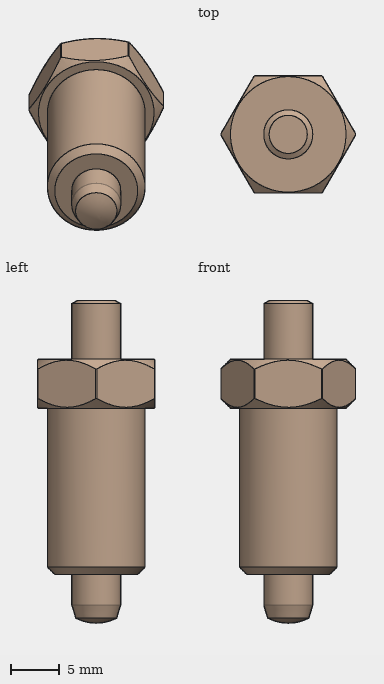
import cadquery as cq
import math

total_length = 33.0

hex_across_flats = 12.0
hex_height = 5.0
hex_face_diameter = 11.8
hex_across_corners = hex_across_flats / math.cos(math.radians(30))
hex_turned_diameter = 13.8
hex_corner_chamfer = (hex_turned_diameter - hex_face_diameter) / 2

sleeve_diameter = 10.0
sleeve_length = 17.0
sleeve_chamfer = 0.75

pin_diameter = 5.0
pin_projection = 4.98
pin_top_chamfer_angle = 30.0
pin_top_chamfer_width = 0.55
pin_top_chamfer_height = pin_top_chamfer_width * math.tan(math.radians(pin_top_chamfer_angle))
tip_end_diameter = 4.22
tip_taper_height = 1.32
tip_dome_height = 0.53

sleeve_bottom = pin_projection
hex_bottom = sleeve_bottom + sleeve_length


def make_hex_head():
    """Hexagon with corners on the X axis, its corners chamfered at both ends."""
    hexagon = (
        cq.Workplane("XY")
        .workplane(offset=hex_bottom)
        .polygon(6, hex_across_corners)
        .extrude(hex_height)
    )
    chamfered_disc = (
        cq.Workplane("XY")
        .workplane(offset=hex_bottom)
        .circle(hex_turned_diameter / 2)
        .extrude(hex_height)
        .edges("%CIRCLE")
        .chamfer(hex_corner_chamfer)
    )
    return hexagon.intersect(chamfered_disc)


def make_sleeve():
    """Plain cylinder with a chamfered lower end."""
    return (
        cq.Workplane("XY")
        .workplane(offset=sleeve_bottom)
        .circle(sleeve_diameter / 2)
        .extrude(sleeve_length)
        .faces("<Z")
        .chamfer(sleeve_chamfer)
    )


def make_housing():
    """Head and sleeve in one piece, bored through for the pin."""
    bore = cq.Workplane("XY").circle(pin_diameter / 2).extrude(total_length)
    return make_hex_head().union(make_sleeve()).cut(bore)


def make_pin():
    """Revolved pin: chamfered top, conical tip and a domed end."""
    pin_radius = pin_diameter / 2
    tip_radius = tip_end_diameter / 2
    taper_top = tip_dome_height + tip_taper_height
    dome_radius = (tip_radius**2 + tip_dome_height**2) / (2 * tip_dome_height)
    dome_mid_x = tip_radius / 2
    dome_mid_z = dome_radius - math.sqrt(dome_radius**2 - dome_mid_x**2)
    return (
        cq.Workplane("XZ")
        .moveTo(0, 0)
        .threePointArc((dome_mid_x, dome_mid_z), (tip_radius, tip_dome_height))
        .lineTo(pin_radius, taper_top)
        .lineTo(pin_radius, total_length - pin_top_chamfer_height)
        .lineTo(pin_radius - pin_top_chamfer_width, total_length)
        .lineTo(0, total_length)
        .close()
        .revolve(360, (0, 0, 0), (0, 1, 0))
    )


housing = make_housing()
pin = make_pin()

result = cq.Compound.makeCompound([housing.val(), pin.val()])